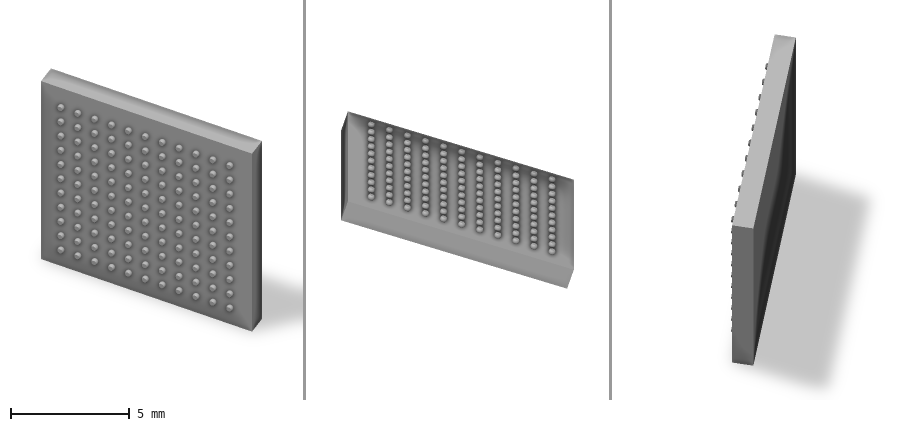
import cadquery as cq
import math

package_side = 10.0
total_depth = 1.11
package_depth = 0.91

balls_per_side = 11
ball_pitch = 0.8
ball_radius = 0.15
ball_height = total_depth - package_depth


def make_package_block():
    """Plain square block behind the contact face."""
    return cq.Workplane("XY").box(
        package_side, package_depth, package_side, centered=(True, False, True)
    ).val()


def make_ball():
    """Flattened ball, revolved about Y, with its base on the contact face at the origin."""
    half_height = ball_height / 2
    flat_radius = math.sqrt(ball_radius**2 - half_height**2)
    mid_offset = half_height / 2
    mid_radius = math.sqrt(ball_radius**2 - mid_offset**2)

    profile = (
        cq.Workplane("XY")
        .lineTo(flat_radius, 0)
        .threePointArc((mid_radius, -half_height + mid_offset), (ball_radius, -half_height))
        .threePointArc((mid_radius, -half_height - mid_offset), (flat_radius, -ball_height))
        .lineTo(0, -ball_height)
        .close()
    )
    return profile.revolve(360, (0, 0, 0), (0, 1, 0), clean=False).val()


def make_package():
    """Package block and its square grid of balls as one solid."""
    first_position = -ball_pitch * (balls_per_side - 1) / 2
    positions = [first_position + ball_pitch * i for i in range(balls_per_side)]
    ball = make_ball()
    balls = [ball.translate(cq.Vector(x, 0, z)) for x in positions for z in positions]
    return make_package_block().fuse(*balls)


package = make_package()

result = cq.Compound.makeCompound([*package.Solids()])